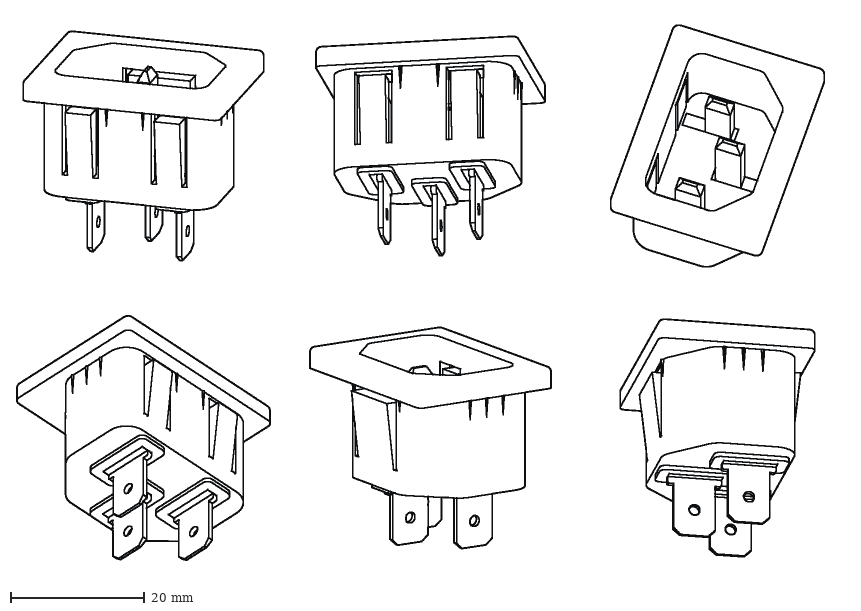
import cadquery as cq


FLANGE_X = 31.0
FLANGE_Y = 24.0
FLANGE_THICK = 3.25
FLANGE_CORNER_R = 1.0
FLANGE_EDGE_R = 0.8

BODY_HALF_X = 13.52
BODY_HALF_Y = 9.75
BODY_DEPTH = 18.72
BODY_BEVEL = 6.73
BODY_BEVEL_R = 3.0
BODY_FRONT_R = 3.5

CAVITY_HALF_X = 12.0
CAVITY_HALF_Y = 8.0
CAVITY_DEPTH = 15.2
CAVITY_BEVEL = 4.68
CAVITY_BEVEL_R = 1.5
CAVITY_FRONT_R = 2.25

WINDOW_TOP = 3.85
WINDOW_SILL = CAVITY_DEPTH
FRONT_WINDOW_WIDTH = 5.6
FRONT_WINDOW_X = 6.98
REAR_WINDOW_WIDTH = 11.4
LATCH_GAP = 0.8
LATCH_TOP = 4.8
LATCH_REACH = 10.97

RIB_WIDTH = 0.5
RIB_HEIGHT = 0.2
RIB_LENGTH = 3.5
FRONT_RIB_X = 2.85
SIDE_RIB_MID_Y = -1.3
SIDE_RIB_PITCH = 2.95
REAR_RIB_X = 6.4
REAR_RIB_SINK = 0.22

PAD_X = 5.3
PAD_Y = 11.47
PAD_THICK = 0.68
PAD_CORNER_R = 1.0
PAD_BOTTOM = BODY_DEPTH + PAD_THICK

PIN_PITCH = 7.0
PIN_THICK = 1.98
BASE_WIDTH = 8.25
BASE_Y = 3.47
CONTACT_WIDTH = 4.0
CONTACT_Y = CONTACT_WIDTH / 2
CONTACT_TAPER = 1.5
CONTACT_TIP_WIDTH = 2.25
CONTACT_TIP_THICK = 0.5
LINE_PIN_TIP = 4.35
EARTH_PIN_TIP = 1.33

BLADE_THICK = 0.8
BLADE_WIDTH = 6.32
BLADE_END = 28.5
BLADE_TAPER = 0.95
BLADE_END_WIDTH = 4.25
BLADE_END_THICK = 0.43
BLADE_HOLE_D = 1.65
BLADE_HOLE_DEPTH = 24.45
SHOULDER_R = 0.3
LINE_SHOULDER = 20.3
EARTH_SHOULDER = 20.45

FRONT = -1
REAR = 1


def box(width_x, width_y, depth_top, depth_bottom, x=0.0, y=0.0):
    """Block centred on (x, y) between two depths below the flange face."""
    height = depth_bottom - depth_top
    return (
        cq.Workplane("XY", origin=(x, y, -depth_bottom))
        .rect(width_x, width_y)
        .extrude(height)
    )


def bevelled_prism(half_x, half_y, bevel, bevel_r, front_r, depth):
    """Prism with two 45 degree bevels at the rear, reaching down from the flange face."""
    outline = [
        (-half_x, -half_y),
        (half_x, -half_y),
        (half_x, half_y - bevel),
        (half_x - bevel, half_y),
        (bevel - half_x, half_y),
        (-half_x, half_y - bevel),
    ]
    prism = cq.Workplane("XY").polyline(outline).close().extrude(-depth)
    prism = prism.edges("|Z and <Y").fillet(front_r)
    rear_edges = cq.selectors.BoxSelector(
        (-2 * half_x, 0, -2 * depth), (2 * half_x, 2 * half_y, depth)
    )
    return prism.edges("|Z").edges(rear_edges).fillet(bevel_r)


def tapered_block(wide, narrow, depth_wide, depth_narrow, x, y):
    """Block that shrinks from the (X, Y) size `wide` at one depth to `narrow` at another."""
    return (
        cq.Workplane("XY", origin=(x, y, -depth_wide))
        .rect(*wide)
        .workplane(offset=depth_wide - depth_narrow)
        .rect(*narrow)
        .loft(ruled=True)
    )


def crush_rib(x, y, turn, height=RIB_HEIGHT):
    """Three-sided spike hanging from the flange; `turn` rotates it from facing +X."""
    top = -FLANGE_THICK
    left = cq.Vector(0, -RIB_WIDTH / 2, top)
    right = cq.Vector(0, RIB_WIDTH / 2, top)
    crest = cq.Vector(height, 0, top)
    point = cq.Vector(0, 0, top - RIB_LENGTH)
    sides = [(left, right, crest), (left, right, point), (right, crest, point), (crest, left, point)]
    faces = [cq.Face.makeFromWires(cq.Wire.makePolygon(side, close=True)) for side in sides]
    rib = cq.Workplane(cq.Solid.makeSolid(cq.Shell.makeShell(faces)))
    return rib.rotate((0, 0, 0), (0, 0, 1), turn).translate((x, y, 0))


def window(x, wall, width):
    """Opening through the front or rear wall."""
    wall_thick = BODY_HALF_Y - CAVITY_HALF_Y
    middle = wall * (BODY_HALF_Y - wall_thick / 2)
    return box(width, wall_thick, WINDOW_TOP, WINDOW_SILL, x, middle)


def latch(x, wall, window_width):
    """Wedge standing on the window sill, flush inside and leaning out towards its top."""
    profile = [
        (wall * CAVITY_HALF_Y, -WINDOW_SILL),
        (wall * BODY_HALF_Y, -WINDOW_SILL),
        (wall * LATCH_REACH, -LATCH_TOP),
        (wall * CAVITY_HALF_Y, -LATCH_TOP),
    ]
    half_width = window_width / 2 - LATCH_GAP
    return (
        cq.Workplane("YZ", origin=(x, 0, 0))
        .polyline(profile)
        .close()
        .extrude(half_width, both=True)
    )


def pad(x, side):
    """Round-cornered pad under the body where a pin comes out."""
    block = box(PAD_X, PAD_Y, BODY_DEPTH, PAD_BOTTOM, x, side * BASE_Y)
    return block.edges("|Z").fillet(PAD_CORNER_R)


def pin_base(x, side):
    """Thick base of a pin, filling its slot through the cavity floor and the pad."""
    return box(PIN_THICK, BASE_WIDTH, CAVITY_DEPTH, PAD_BOTTOM, x, side * BASE_Y)


def make_pin(x, side, tip, shoulder):
    """Contact pin whose base lies off-centre towards the front or the rear wall."""
    contact_y = side * CONTACT_Y
    base_y = side * BASE_Y
    contact_top = tip + CONTACT_TAPER
    contact = box(PIN_THICK, CONTACT_WIDTH, contact_top, CAVITY_DEPTH, x, contact_y)
    contact_tip = tapered_block(
        (PIN_THICK, CONTACT_WIDTH), (CONTACT_TIP_THICK, CONTACT_TIP_WIDTH), contact_top, tip, x, contact_y
    )
    base = pin_base(x, side)

    blade_x = x + (PIN_THICK - BLADE_THICK) / 2
    neck = box(BLADE_THICK, BASE_WIDTH, PAD_BOTTOM, shoulder, blade_x, base_y)
    neck = neck.edges("|X and <Z").fillet(SHOULDER_R)
    taper_start = BLADE_END - BLADE_TAPER
    blade = box(BLADE_THICK, BLADE_WIDTH, shoulder, taper_start, blade_x, base_y)
    blade_tip = tapered_block(
        (BLADE_THICK, BLADE_WIDTH), (BLADE_END_THICK, BLADE_END_WIDTH), taper_start, BLADE_END, blade_x, base_y
    )
    hole = (
        cq.Workplane("YZ", origin=(blade_x, base_y, -BLADE_HOLE_DEPTH))
        .circle(BLADE_HOLE_D / 2)
        .extrude(BLADE_THICK, both=True)
    )
    return contact.union(contact_tip).union(base).union(neck).union(blade).union(blade_tip).cut(hole)


def make_housing():
    """Flange, hollow body, pads, windows, latches and ribs, with a slot for each pin."""
    flange = box(FLANGE_X, FLANGE_Y, 0, FLANGE_THICK)
    flange = flange.edges("|Z").fillet(FLANGE_CORNER_R)
    flange = flange.faces(">Z").edges().fillet(FLANGE_EDGE_R)
    body = bevelled_prism(BODY_HALF_X, BODY_HALF_Y, BODY_BEVEL, BODY_BEVEL_R, BODY_FRONT_R, BODY_DEPTH)
    body = body.intersect(box(FLANGE_X, FLANGE_Y, FLANGE_THICK, BODY_DEPTH))
    cavity = bevelled_prism(
        CAVITY_HALF_X, CAVITY_HALF_Y, CAVITY_BEVEL, CAVITY_BEVEL_R, CAVITY_FRONT_R, CAVITY_DEPTH
    )
    housing = flange.union(body).cut(cavity)

    for x, side, _, _ in PIN_LAYOUT:
        housing = housing.union(pad(x, side))

    latch_places = [
        (-FRONT_WINDOW_X, FRONT, FRONT_WINDOW_WIDTH),
        (FRONT_WINDOW_X, FRONT, FRONT_WINDOW_WIDTH),
        (0, REAR, REAR_WINDOW_WIDTH),
    ]
    for x, wall, width in latch_places:
        housing = housing.cut(window(x, wall, width))
        housing = housing.union(latch(x, wall, width))

    for end in (-1, 1):
        housing = housing.union(crush_rib(end * FRONT_RIB_X, -BODY_HALF_Y, -90))
        rear_root_y = BODY_HALF_Y - REAR_RIB_SINK
        rear_height = RIB_HEIGHT + REAR_RIB_SINK
        housing = housing.union(crush_rib(end * REAR_RIB_X, rear_root_y, 90, rear_height))
        turn = 0 if end > 0 else 180
        for step in (-1, 0, 1):
            rib_y = SIDE_RIB_MID_Y + step * SIDE_RIB_PITCH
            housing = housing.union(crush_rib(end * BODY_HALF_X, rib_y, turn))

    for x, side, _, _ in PIN_LAYOUT:
        housing = housing.cut(pin_base(x, side))
    return housing


PIN_LAYOUT = [
    (-PIN_PITCH, FRONT, LINE_PIN_TIP, LINE_SHOULDER),
    (0, REAR, EARTH_PIN_TIP, EARTH_SHOULDER),
    (PIN_PITCH, FRONT, LINE_PIN_TIP, LINE_SHOULDER),
]

pins = [make_pin(*place) for place in PIN_LAYOUT]
housing = make_housing()

result = cq.Compound.makeCompound([housing.val(), *[pin.val() for pin in pins]])